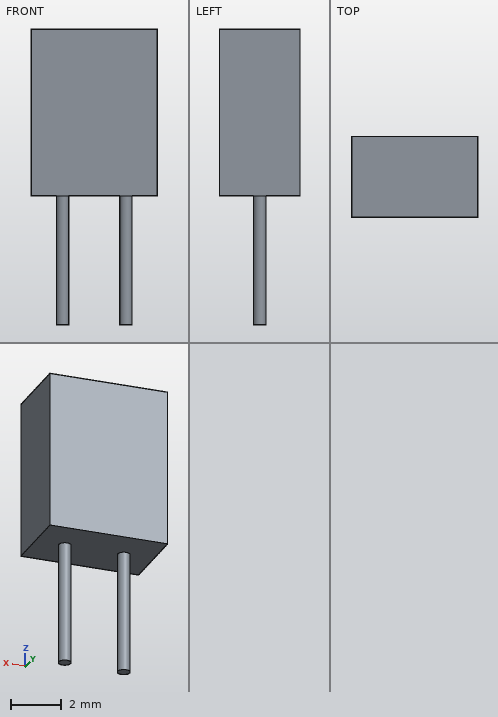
import cadquery as cq

total_height = 11.7
body_width = 5.0
body_depth = 3.2
body_height = 6.6

lead_diameter = 0.5
lead_spacing = 2.5
lead_length = total_height - body_height


def make_body():
    """Rectangular block standing on the plane Z = 0."""
    return cq.Workplane("XY").box(
        body_width, body_depth, body_height, centered=(True, True, False)
    )


def make_lead(x):
    """Straight round lead hanging from the underside of the block."""
    return cq.Workplane("XY").center(x, 0).circle(lead_diameter / 2).extrude(-lead_length)


body = make_body()

leads = []
for side in (-1, 1):
    leads.append(make_lead(side * lead_spacing / 2).val())

result = cq.Compound.makeCompound([body.val(), *leads])